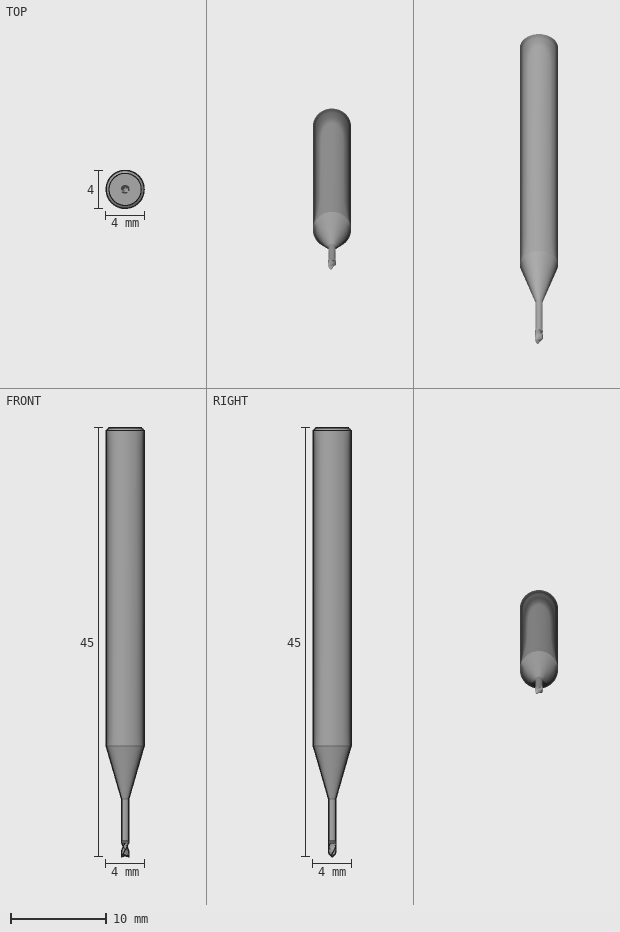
import cadquery as cq
import math

total_length = 45.0
shank_diameter = 4.0
shank_chamfer = 0.3
shank_bottom = 11.65

neck_diameter = 0.75
neck_top = 6.08

cutter_diameter = 0.8
cutter_length = 1.65
fluted_length = 1.5
web_thickness = 0.4
helix_angle = 30.0
end_relief_angle = 45.0
end_dish_depth = 0.15

helix_lead = math.pi * cutter_diameter / math.tan(math.radians(helix_angle))
flute_twist = 360.0 * fluted_length / helix_lead


def make_shank():
    """Round shank, taper and neck, revolved about Z."""
    shank_radius = shank_diameter / 2
    neck_radius = neck_diameter / 2
    outline = [
        (0, cutter_length),
        (neck_radius, cutter_length),
        (neck_radius, neck_top),
        (shank_radius, shank_bottom),
        (shank_radius, total_length - shank_chamfer),
        (shank_radius - shank_chamfer, total_length),
        (0, total_length),
    ]
    return cq.Workplane("XZ").polyline(outline).close().revolve(360, (0, 0), (0, 1))


def make_fluted_core():
    """Twisted web with two round-ended lands, lying along X at the tip."""
    radius = cutter_diameter / 2
    half_web = web_thickness / 2
    land_x = math.sqrt(radius**2 - half_web**2)
    return (
        cq.Workplane("XY")
        .moveTo(-land_x, -half_web)
        .lineTo(land_x, -half_web)
        .threePointArc((radius, 0), (land_x, half_web))
        .lineTo(-land_x, half_web)
        .threePointArc((-radius, 0), (-land_x, -half_web))
        .close()
        .twistExtrude(fluted_length, flute_twist)
    )


def make_end_relief():
    """Material below the two sloped end faces, which meet in a ridge along X."""
    half_width = cutter_diameter
    rise = half_width * math.tan(math.radians(end_relief_angle))
    outline = [
        (0, 0),
        (half_width, rise),
        (half_width, -rise),
        (-half_width, -rise),
        (-half_width, rise),
    ]
    return (
        cq.Workplane("XZ")
        .polyline(outline)
        .close()
        .extrude(cutter_diameter, both=True)
        .rotate((0, 0, 0), (0, 0, 1), 90)
    )


def make_end_dish():
    """Shallow V across the end, leaving the two outer corners lowest."""
    radius = cutter_diameter / 2
    return (
        cq.Workplane("XZ")
        .polyline([(-radius, 0), (radius, 0), (0, end_dish_depth)])
        .close()
        .extrude(cutter_diameter, both=True)
    )


def make_cutter():
    """Fluted cutting head below a plain round collar."""
    collar = (
        cq.Workplane("XY")
        .workplane(offset=fluted_length)
        .circle(cutter_diameter / 2)
        .extrude(cutter_length - fluted_length)
    )
    core = make_fluted_core().cut(make_end_relief()).cut(make_end_dish())
    return collar.union(core)


shank = make_shank()
cutter = make_cutter()

result = cq.Compound.makeCompound([shank.val(), cutter.solids().val()])